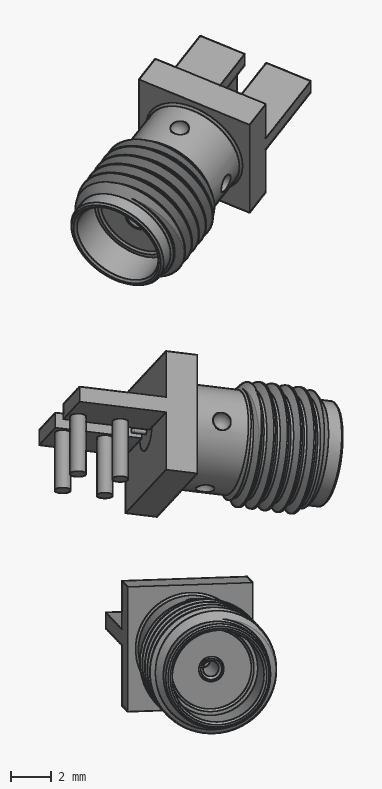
import cadquery as cq
import math


plate_side = 6.35
plate_front = 7.87
plate_thickness = 1.65
plate_back = plate_front + plate_thickness
leg_length = 4.55
leg_gap = 1.23
leg_top = 0.71
leg_bottom = -0.10
barrel_dia = 5.32
flare_size = 0.12
mouth_outer_chamfer = 0.10

bore_dia = 4.66
bore_depth = 1.90
mouth_inner_chamfer = 0.12
seat_dia = 4.05
seat_rim_dia = 4.28
seat_chamfer = (seat_rim_dia - seat_dia) / 2
rear_hole_dia = 1.90

thread_dia = 6.35
thread_root_dia = 5.53
thread_pitch = 25.4 / 36
thread_half_angle = math.radians(30)
thread_start = 0.79
thread_end = 5.01
crest_width = thread_pitch / 8
first_crest = 1.336
ridge_embedding = 0.10
cone_overrun = 0.20

dimple_dia = 0.94
dimple_y = 6.40
dimple_count = 4

ground_pin_dia = 0.81
ground_pin_x = 1.20
ground_pin_bottom = -plate_side / 2
ground_pin_end_distance = 0.58
ground_pin_spacing = 2.22

insulator_front = bore_depth + seat_chamfer
contact_dia = 1.27
contact_edge_fillet = 0.10
socket_mouth_dia = contact_dia - 2 * contact_edge_fillet
socket_dia = 0.80
socket_depth = 2.50
socket_wall = 0.50
contact_body_end = insulator_front + socket_depth + socket_wall
tail_dia = 0.25
tail_end = plate_back + 0.77
tail_tip_fillet = 0.12


def turned(profile_points):
    """Solid of revolution about Y from (radius, distance from mouth) points."""
    return cq.Workplane("XY").polyline(profile_points).close().revolve(360, (0, 0), (0, 1))


def cylinder_along_y(diameter, start, end):
    """Cylinder on the Y axis between two distances from the mouth."""
    radius = diameter / 2
    return turned([(0, start), (radius, start), (radius, end), (0, end)])


def plain_barrel():
    """Barrel without its thread, with the mouth chamfer and the flare against the plate."""
    barrel = barrel_dia / 2
    return turned([
        (0, 0),
        (barrel - mouth_outer_chamfer, 0),
        (barrel, mouth_outer_chamfer),
        (barrel, plate_front - flare_size),
        (barrel + flare_size, plate_front),
        (0, plate_front),
    ])


def thread():
    """Right-hand helical ridge on a root band, trimmed at both ends by 45-degree cones."""
    root = thread_root_dia / 2
    crest = thread_dia / 2
    foot = root - ridge_embedding
    crest_half = crest_width / 2
    foot_half = crest_half + (crest - foot) * math.tan(thread_half_angle)
    start = first_crest - 2 * thread_pitch
    turns = math.ceil((thread_end - start) / thread_pitch)
    helix = cq.Wire.makeHelix(thread_pitch, turns * thread_pitch, root)
    ridge = (
        cq.Workplane("XZ")
        .polyline([
            (foot, -foot_half),
            (crest, -crest_half),
            (crest, crest_half),
            (foot, foot_half),
        ])
        .close()
        .sweep(cq.Workplane(helix), isFrenet=True)
        .rotate((0, 0, 0), (1, 0, 0), -90)
        .translate((0, start, 0))
    )

    barrel = barrel_dia / 2
    cone = crest - barrel + cone_overrun
    envelope = turned([
        (0, thread_start),
        (barrel, thread_start),
        (barrel + cone, thread_start + cone),
        (barrel + cone, thread_end - cone),
        (barrel, thread_end),
        (0, thread_end),
    ])
    root_band = cylinder_along_y(thread_root_dia, thread_start - thread_pitch, thread_end + thread_pitch)
    return envelope.intersect(ridge.union(root_band))


def plate_and_legs():
    """Square mounting plate with two flat legs behind it."""
    plate = cq.Workplane("XY").box(plate_side, plate_thickness, plate_side)
    plate = plate.translate((0, plate_front + plate_thickness / 2, 0))
    leg_width = (plate_side - leg_gap) / 2
    for side in (-1, 1):
        leg = cq.Workplane("XY").box(leg_width, leg_length, leg_top - leg_bottom)
        leg = leg.translate((
            side * (leg_gap + leg_width) / 2,
            plate_back + leg_length / 2,
            (leg_top + leg_bottom) / 2,
        ))
        plate = plate.union(leg)
    return plate


def ground_pins():
    """Four round pins under the legs."""
    last_row = plate_back + leg_length - ground_pin_end_distance
    rows = [last_row - ground_pin_spacing, last_row]
    return (
        cq.Workplane("XY", origin=(0, 0, ground_pin_bottom))
        .pushPoints([(side * ground_pin_x, row) for side in (-1, 1) for row in rows])
        .circle(ground_pin_dia / 2)
        .extrude(leg_bottom - ground_pin_bottom)
    )


def housing_cavity():
    """Mating bore, chamfered insulator seat and the hole through the plate."""
    bore = bore_dia / 2
    seat = seat_dia / 2
    rear = rear_hole_dia / 2
    return turned([
        (0, 0),
        (bore + mouth_inner_chamfer, 0),
        (bore, mouth_inner_chamfer),
        (bore, bore_depth),
        (seat_rim_dia / 2, bore_depth),
        (seat, insulator_front),
        (seat, plate_front),
        (rear, plate_front),
        (rear, plate_back),
        (0, plate_back),
    ])


def dimples():
    """Round-bottomed dimples spaced evenly around the barrel."""
    cutter = cq.Workplane("XY").sphere(dimple_dia / 2).translate((0, dimple_y, barrel_dia / 2))
    step = 360 / dimple_count
    solids = [cutter.rotate((0, 0, 0), (0, 1, 0), index * step).val() for index in range(dimple_count)]
    return cq.Workplane("XY").newObject(solids).combine()


def make_housing():
    return (
        plain_barrel()
        .union(thread())
        .union(plate_and_legs())
        .union(ground_pins())
        .cut(housing_cavity())
        .cut(dimples())
    )


def make_contact():
    """Socket contact with a thin solder tail."""
    body = (
        cylinder_along_y(contact_dia, insulator_front, contact_body_end)
        .faces("<Y").edges().fillet(contact_edge_fillet)
    )
    body = body.union(
        cylinder_along_y(tail_dia, contact_body_end, tail_end)
        .faces(">Y").edges().fillet(tail_tip_fillet)
    )
    lead_in = (socket_mouth_dia - socket_dia) / 2
    return body.cut(turned([
        (0, insulator_front),
        (socket_mouth_dia / 2, insulator_front),
        (socket_dia / 2, insulator_front + lead_in),
        (socket_dia / 2, insulator_front + socket_depth),
        (0, insulator_front + socket_depth),
    ]))


def make_insulator():
    """Insulator that fills the seat and the plate hole around the contact."""
    return (
        cylinder_along_y(seat_dia, insulator_front, plate_front)
        .union(cylinder_along_y(rear_hole_dia, plate_front, plate_back))
        .cut(cylinder_along_y(contact_dia, insulator_front, contact_body_end))
        .cut(cylinder_along_y(tail_dia, contact_body_end, plate_back))
    )


housing = make_housing()
insulator = make_insulator()
contact = make_contact()

result = cq.Compound.makeCompound([housing.val(), insulator.val(), contact.val()])